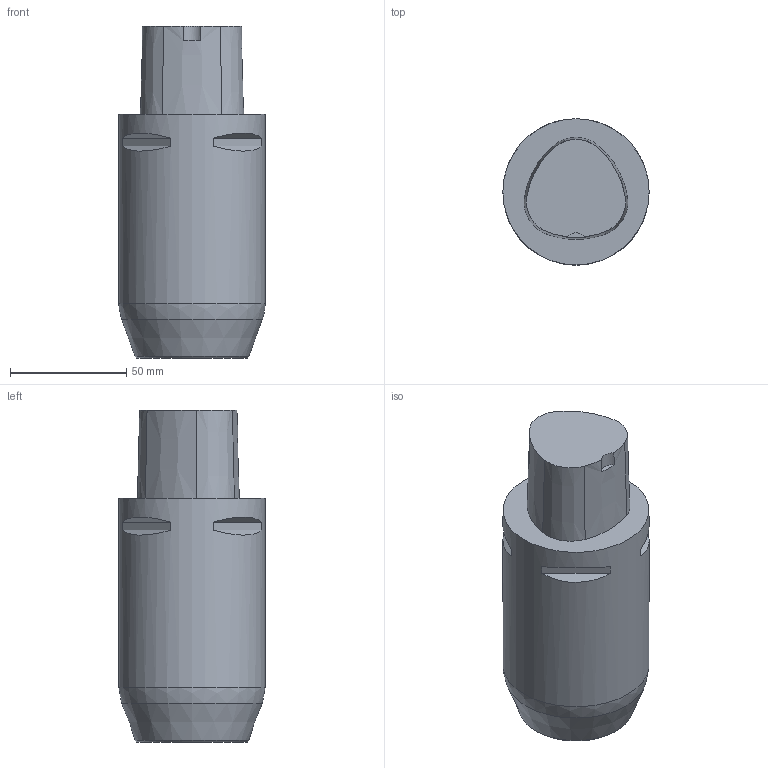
import cadquery as cq
import math

BODY_RADIUS = 63 / 2
BODY_LENGTH = 105
NOSE_START_Z = 23.5
NOSE_BLEND_RADIUS = 20
NOSE_HALF_ANGLE = math.radians(20)
END_CHAMFER = 0.7

SHANK_LENGTH = 38
LOBE_REACH = 23.5
FLANK_REACH = 20.5
LOBE_RADIUS = 14.8
SHANK_DRAFT = math.degrees(math.atan(1 / 40))

NOTCH_RADIUS = 5
NOTCH_DEPTH = 6.2
NOTCH_BACK_REACH = 17.7

GROOVE_COUNT = 4
GROOVE_FIRST_ANGLE = 45
GROOVE_DROP = 12
GROOVE_FLOOR_REACH = 27.8
GROOVE_FLOOR_WIDTH = 3.5
GROOVE_WALL_ANGLE = math.radians(30)


def polar(radius, angle_deg):
    """Point in the XY plane at the given radius and angle."""
    angle = math.radians(angle_deg)
    return radius * math.cos(angle), radius * math.sin(angle)


def make_body():
    """Revolve the body outline: nose cone, tangent blend arc and cylinder."""
    blend_centre_r = BODY_RADIUS - NOSE_BLEND_RADIUS

    def blend_point(angle):
        return (blend_centre_r + NOSE_BLEND_RADIUS * math.cos(angle),
                NOSE_START_Z - NOSE_BLEND_RADIUS * math.sin(angle))

    cone_top = blend_point(NOSE_HALF_ANGLE)
    cone_end_r = cone_top[0] - (cone_top[1] - END_CHAMFER) * math.tan(NOSE_HALF_ANGLE)
    return (
        cq.Workplane("XZ")
        .moveTo(0, 0)
        .lineTo(cone_end_r - END_CHAMFER, 0)
        .lineTo(cone_end_r, END_CHAMFER)
        .lineTo(*cone_top)
        .threePointArc(blend_point(NOSE_HALF_ANGLE / 2), (BODY_RADIUS, NOSE_START_Z))
        .lineTo(BODY_RADIUS, BODY_LENGTH)
        .lineTo(0, BODY_LENGTH)
        .close()
        .revolve(360, (0, 0, 0), (0, 1, 0))
    )


def make_shank():
    """Drafted shank whose profile is three lobe arcs joined by three tangent flank arcs."""
    lobe_offset = LOBE_REACH - LOBE_RADIUS
    half_offset = lobe_offset / 2
    side_offset = lobe_offset * math.sin(math.radians(60))
    centre_gap = FLANK_REACH - half_offset
    flank_radius = ((side_offset**2 + centre_gap**2 - LOBE_RADIUS**2)
                    / (2 * (centre_gap - LOBE_RADIUS)))
    flank_offset = flank_radius - FLANK_REACH

    joint_scale = flank_radius / (flank_radius - LOBE_RADIUS)
    joint_x = side_offset * joint_scale
    joint_drop = (flank_offset + half_offset) * joint_scale - flank_offset
    joint_radius = math.hypot(joint_x, joint_drop)
    joint_angle = 60 - math.degrees(math.atan2(joint_x, joint_drop))

    profile = cq.Workplane("XY").workplane(offset=BODY_LENGTH)
    profile = profile.moveTo(*polar(joint_radius, 90 - joint_angle))
    for lobe_angle in (90, 210, 330):
        lobe_end = polar(joint_radius, lobe_angle + joint_angle)
        flank_end = polar(joint_radius, lobe_angle + 120 - joint_angle)
        profile = profile.threePointArc(polar(LOBE_REACH, lobe_angle), lobe_end)
        profile = profile.threePointArc(polar(FLANK_REACH, lobe_angle + 60), flank_end)
    return profile.close().extrude(SHANK_LENGTH, taper=SHANK_DRAFT)


def make_notch():
    """Upright cylinder that cuts the notch into the -Y flank."""
    return (
        cq.Workplane("XY")
        .workplane(offset=BODY_LENGTH + SHANK_LENGTH - NOTCH_DEPTH)
        .center(0, -(NOTCH_BACK_REACH + NOTCH_RADIUS))
        .circle(NOTCH_RADIUS)
        .extrude(NOTCH_DEPTH)
    )


def make_groove(angle):
    """Straight trapezoidal bar, widening outwards, that cuts one groove."""
    depth = BODY_RADIUS - GROOVE_FLOOR_REACH
    half_floor = GROOVE_FLOOR_WIDTH / 2
    half_mouth = half_floor + depth * math.tan(GROOVE_WALL_ANGLE)
    groove_z = BODY_LENGTH - GROOVE_DROP
    return (
        cq.Workplane("XZ")
        .polyline([
            (GROOVE_FLOOR_REACH, groove_z - half_floor),
            (BODY_RADIUS, groove_z - half_mouth),
            (BODY_RADIUS, groove_z + half_mouth),
            (GROOVE_FLOOR_REACH, groove_z + half_floor),
        ])
        .close()
        .extrude(BODY_RADIUS, both=True)
        .rotate((0, 0, 0), (0, 0, 1), angle)
    )


result = make_body().union(make_shank()).cut(make_notch())
for index in range(GROOVE_COUNT):
    result = result.cut(make_groove(GROOVE_FIRST_ANGLE + index * 360 / GROOVE_COUNT))